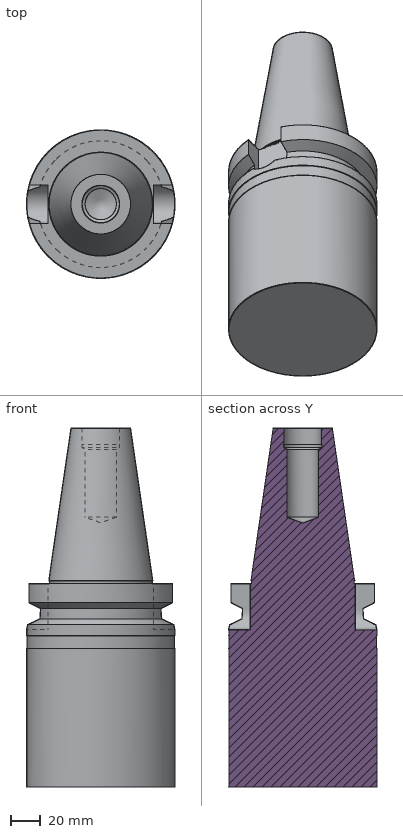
import cadquery as cq
import math

GAUGE_Z = 140.0
TAPER_LENGTH = 101.8
TOP_Z = GAUGE_Z + TAPER_LENGTH

GAUGE_DIAMETER = 69.85
TAPER_RATIO = 7.0 / 24.0
TAPER_OVERRUN = 0.8
NECK_DIAMETER = 69.4
NECK_STEP_HEIGHT = 0.5

FLANGE_DIAMETER = 100.0
FLANGE_TOP_Z = GAUGE_Z - 3.0
FLANGE_BOTTOM_Z = GAUGE_Z - 38.0
GROOVE_CENTRE_Z = GAUGE_Z - 23.2
GROOVE_MOUTH = 14.8
GROOVE_ROOT_DIAMETER = 85.4
GROOVE_FLANK_ANGLE = 28.5

BODY_DIAMETER = 100.0
RELIEF_DIAMETER = 99.5
RELIEF_BOTTOM_Z = 93.4
BASE_CHAMFER = 0.3

SLOT_WIDTH = 25.75
SLOT_FLOOR_X = 35.4
SLOT_BOTTOM_Z = 106.1

BORE_DIAMETER = 25.02
BORE_DEPTH = 11.0
BORE_RELIEF_DIAMETER = 25.47
BORE_RELIEF_LENGTH = 2.0
SEAT_ANGLE = 30.0
STUD_HOLE_DIAMETER = 21.0
STUD_HOLE_DEPTH = 60.0
DRILL_POINT_ANGLE = 140.0


def revolve_about_z(profile):
    """Revolve a closed (radius, Z) outline about the Z axis."""
    return cq.Workplane("XZ").polyline(profile).close().revolve(360, (0, 0, 0), (0, 1, 0))


def drop_at_angle(radial_change, angle):
    """Height of a cone flank that covers a radial change at an angle from the horizontal."""
    return radial_change * math.tan(math.radians(angle))


def make_holder():
    """Solid of revolution: body, relief band, grooved flange, neck and taper."""
    body_r = BODY_DIAMETER / 2
    relief_r = RELIEF_DIAMETER / 2
    flange_r = FLANGE_DIAMETER / 2
    root_r = GROOVE_ROOT_DIAMETER / 2
    neck_r = NECK_DIAMETER / 2
    gauge_r = GAUGE_DIAMETER / 2
    taper_base_r = gauge_r + TAPER_OVERRUN * TAPER_RATIO / 2
    top_r = gauge_r - TAPER_LENGTH * TAPER_RATIO / 2

    taper_base_z = GAUGE_Z - TAPER_OVERRUN
    neck_top_z = taper_base_z - NECK_STEP_HEIGHT
    relief_top_z = FLANGE_BOTTOM_Z - (flange_r - relief_r)
    mouth_half = GROOVE_MOUTH / 2
    root_half = mouth_half - drop_at_angle(flange_r - root_r, GROOVE_FLANK_ANGLE)

    return revolve_about_z([
        (0, 0),
        (body_r - BASE_CHAMFER, 0),
        (body_r, BASE_CHAMFER),
        (body_r, RELIEF_BOTTOM_Z),
        (relief_r, RELIEF_BOTTOM_Z),
        (relief_r, relief_top_z),
        (flange_r, FLANGE_BOTTOM_Z),
        (flange_r, GROOVE_CENTRE_Z - mouth_half),
        (root_r, GROOVE_CENTRE_Z - root_half),
        (root_r, GROOVE_CENTRE_Z + root_half),
        (flange_r, GROOVE_CENTRE_Z + mouth_half),
        (flange_r, FLANGE_TOP_Z),
        (neck_r, FLANGE_TOP_Z),
        (neck_r, neck_top_z),
        (taper_base_r, taper_base_z),
        (top_r, TOP_Z),
        (0, TOP_Z),
    ])


def make_drive_slot(side):
    """Round-bottomed slot cutter, open upward and outward; side is -1 or +1 along X."""
    half_width = SLOT_WIDTH / 2
    arc_centre_z = SLOT_BOTTOM_Z + half_width
    depth = FLANGE_DIAMETER / 2 - SLOT_FLOOR_X
    return (
        cq.Workplane("YZ", origin=(side * SLOT_FLOOR_X, 0, 0))
        .moveTo(-half_width, FLANGE_TOP_Z)
        .lineTo(-half_width, arc_centre_z)
        .threePointArc((0, SLOT_BOTTOM_Z), (half_width, arc_centre_z))
        .lineTo(half_width, FLANGE_TOP_Z)
        .close()
        .extrude(side * depth)
    )


def make_stud_hole():
    """Cutter for the stepped blind hole, ending in a conical drill point."""
    bore_r = BORE_DIAMETER / 2
    relief_r = BORE_RELIEF_DIAMETER / 2
    hole_r = STUD_HOLE_DIAMETER / 2

    bore_bottom_z = TOP_Z - BORE_DEPTH
    relief_bottom_z = bore_bottom_z - BORE_RELIEF_LENGTH
    seat_bottom_z = relief_bottom_z - drop_at_angle(relief_r - hole_r, SEAT_ANGLE)
    floor_z = TOP_Z - STUD_HOLE_DEPTH
    point_z = floor_z - hole_r / math.tan(math.radians(DRILL_POINT_ANGLE / 2))

    return revolve_about_z([
        (0, TOP_Z),
        (bore_r, TOP_Z),
        (bore_r, bore_bottom_z),
        (relief_r, bore_bottom_z),
        (relief_r, relief_bottom_z),
        (hole_r, seat_bottom_z),
        (hole_r, floor_z),
        (0, point_z),
    ])


result = make_holder().cut(make_stud_hole())
for slot_side in (-1, 1):
    result = result.cut(make_drive_slot(slot_side))